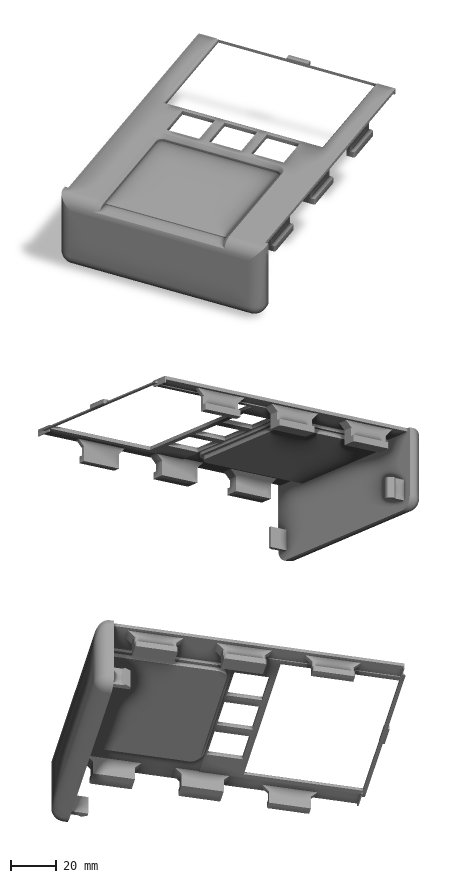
import cadquery as cq


overall_width = 100.0
overall_length = 142.0
overall_height = 37.0

plate_width = 96.5
plate_thickness = 1.5
plate_back = 139.5

block_depth = 8.0
block_radius = 6.0

pad_width = 82.4
pad_front = 65.9
pad_thickness = 2.0

window_width = 77.2
window_front = 85.6
window_radius = 1.1

lip_width = 85.5
lip_reach = 1.7
lip_top = -0.4
tab_width = 10.5
foot_thickness = 0.5
foot_depth = 3.0

button_size = 16.0
button_count = 3
button_pitch = 20.7
button_center_y = 74.8

tray_width = 60.2
tray_back = 62.0
tray_corner_radius = 2.8
tray_depth = 3.0
tray_chamfer = 1.7
tray_wall = 1.5
tray_floor_thickness = 2.0
front_floor_depth = 3.5

clip_width = 19.0
clip_pitch = 40.0
clip_first_y = 27.5
clip_thicknesses = (7.1, 7.1, 3.8)
clip_depth = 11.4
clip_flare = 3.0
hook_reach = 1.8
hook_height = 3.0
clip_edge_chamfer = 0.4

barb_top = -23.3
barb_height = 9.5
barb_tip_x = 45.2
barb_peak_x = 46.5
barb_neck_x = 45.7
barb_inner_x = 43.6
barb_neck_y = 12.5
barb_peak_y = 13.9
barb_tip_y = 16.5


def box(x_range, y_range, z_range):
    """Box spanning the given (low, high) ranges."""
    low, high = zip(x_range, y_range, z_range)
    size = [end - start for start, end in zip(low, high)]
    return cq.Workplane("XY").box(*size, centered=False).translate(low)


def centered_box(width, y_range, z_range):
    """Box centred on X = 0."""
    return box((-width / 2, width / 2), y_range, z_range)


def both_sides(shape):
    """The shape together with its mirror image across X = 0."""
    return shape.union(shape.mirror("YZ"))


def front_block():
    """Block with a rounded front rim and rounded bottom corners; its top corners are mitred."""
    block = centered_box(overall_width, (0, block_depth), (-overall_height, 0))
    return block.edges("<Y or (|Y and <Z)").fillet(block_radius)


def cover_plate():
    """Thin plate with a thicker pad around the window and the button holes."""
    plate = centered_box(plate_width, (block_depth, plate_back), (-plate_thickness, 0))
    pad = centered_box(pad_width, (pad_front, plate_back), (-pad_thickness, 0))
    return plate.union(pad)


def back_lip():
    """Wedge lip along the back edge, with a snap tab in the middle and a foot at each corner."""
    wedge = (
        cq.Workplane("YZ")
        .moveTo(plate_back, lip_top)
        .lineTo(plate_back + lip_reach, -pad_thickness)
        .lineTo(plate_back, -pad_thickness)
        .close()
        .extrude(lip_width / 2, both=True)
    )
    tab = centered_box(tab_width, (plate_back, overall_length), (-pad_thickness, 0))
    foot = box(
        (window_width / 2 + window_radius, plate_width / 2),
        (plate_back - foot_thickness, plate_back),
        (-foot_depth, 0),
    )
    return wedge.union(tab).union(both_sides(foot))


def window_cut():
    """Window opening whose side and front edges are rounded over at the top."""
    opening = centered_box(window_width, (window_front, plate_back), (-pad_thickness, 0))
    flared = centered_box(
        window_width + 2 * window_radius,
        (window_front - window_radius, plate_back),
        (-window_radius, 0),
    )
    side_round = (
        cq.Workplane("XZ")
        .center(window_width / 2 + window_radius, -window_radius)
        .circle(window_radius)
        .extrude(-overall_length)
    )
    front_round = (
        cq.Workplane("YZ")
        .center(window_front - window_radius, -window_radius)
        .circle(window_radius)
        .extrude(overall_width / 2, both=True)
    )
    return opening.union(flared.cut(both_sides(side_round)).cut(front_round))


def button_holes():
    """Row of square holes between the window and the tray."""
    return (
        cq.Workplane("XY")
        .center(0, button_center_y)
        .rarray(button_pitch, button_size, button_count, 1)
        .rect(button_size, button_size)
        .extrude(-pad_thickness)
    )


def tray_prism(growth, front, depth):
    """Tray outline grown outward by growth, from front to its rounded back corners."""
    prism = centered_box(tray_width + 2 * growth, (front, tray_back + growth), (-depth, 0))
    return prism.edges("|Z and >Y").fillet(tray_corner_radius + growth)


def tray_shell():
    """Solid tray body under the plate, stepped outward below the chamfered edge."""
    upper = tray_prism(tray_chamfer + tray_wall, block_depth, tray_depth)
    lower = tray_prism(tray_wall, block_depth, tray_depth + tray_floor_thickness)
    return upper.union(lower)


def tray_cut():
    """Tray pocket, slightly deeper where it runs out through the front block."""
    pocket = tray_prism(0, 0, tray_depth)
    runout = centered_box(tray_width, (0, block_depth), (-front_floor_depth, 0))
    return pocket.union(runout)


def tray_rim(body):
    """Edges where the tray walls meet the top surface and the rounded front."""
    margin = 0.1
    reach = tray_width / 2 + margin
    zone = cq.selectors.BoxSelector(
        (-reach, -margin, -tray_depth + margin),
        (reach, tray_back + margin, margin),
    )
    return body.edges(zone)


def side_clip(center_y, thickness):
    """Flared tongue under the plate edge, hooked outward at its foot, with chamfered outer corners."""
    half_width = clip_width / 2
    flare_bottom = -plate_thickness - clip_flare
    outer_x = plate_width / 2
    tongue = (
        cq.Workplane("YZ", origin=(outer_x - thickness, center_y, 0))
        .moveTo(-half_width - clip_flare, -plate_thickness)
        .lineTo(-half_width, flare_bottom)
        .lineTo(-half_width, -clip_depth)
        .lineTo(half_width, -clip_depth)
        .lineTo(half_width, flare_bottom)
        .lineTo(half_width + clip_flare, -plate_thickness)
        .close()
        .extrude(thickness - hook_reach)
    )
    hook = box(
        (outer_x - hook_reach, outer_x),
        (center_y - half_width, center_y + half_width),
        (-clip_depth, -clip_depth + hook_height),
    )
    clip = tongue.union(hook)
    return clip.edges("|Z and (not <X)").chamfer(clip_edge_chamfer)


def barb_clip():
    """Upright barbed clip reaching back from the front block."""
    return (
        cq.Workplane("XY", origin=(0, 0, barb_top))
        .moveTo(barb_inner_x, block_depth)
        .lineTo(barb_neck_x, block_depth)
        .lineTo(barb_neck_x, barb_neck_y)
        .lineTo(barb_peak_x, barb_peak_y)
        .lineTo(barb_tip_x, barb_tip_y)
        .lineTo(barb_inner_x, barb_tip_y)
        .close()
        .extrude(-barb_height)
    )


result = front_block().union(cover_plate()).union(tray_shell())
result = result.cut(tray_cut())
result = tray_rim(result).chamfer(tray_chamfer)
result = result.union(back_lip())
result = result.cut(window_cut()).cut(button_holes())

for index, thickness in enumerate(clip_thicknesses):
    result = result.union(both_sides(side_clip(clip_first_y + index * clip_pitch, thickness)))

result = result.union(both_sides(barb_clip()))